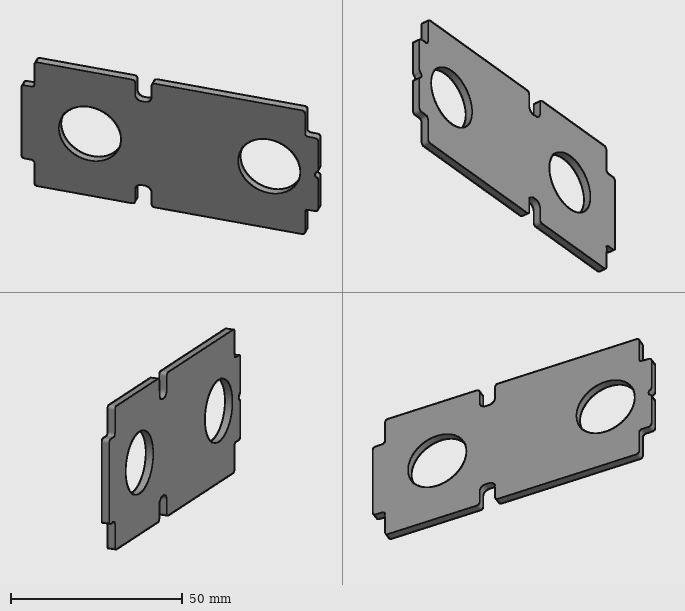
import cadquery as cq

overall_length = 91.0
body_length = 83.0
body_height = 44.0
tab_height = 26.0
thickness = 2.5
corner_radius = 1.0

window_diameter = 19.0
window_centers_x = (-24.5, 30.5)

slot_center_x = -8.1
slot_width = 5.0
slot_depth = 7.1
slot_inner_radius = 2.0

notch_radius = 1.0


def block(length, height):
    """Plate blank of the given length (X) and height (Z), centred on the origin."""
    return cq.Workplane("XY").box(length, thickness, height)


def cylinder(x, z, diameter):
    """Cylinder along Y, as thick as the plate, centred at (x, z)."""
    return (
        cq.Workplane("XZ", origin=(0, thickness / 2, 0))
        .center(x, z)
        .circle(diameter / 2)
        .extrude(thickness)
    )


def edge_slot(side):
    """Slot cutter for the top (side = 1) or bottom (side = -1) edge."""
    inner_face = "<Z" if side > 0 else ">Z"
    center_z = side * (body_height - slot_depth) / 2
    return (
        block(slot_width, slot_depth)
        .faces(inner_face)
        .edges("|Y")
        .fillet(slot_inner_radius)
        .translate((slot_center_x, 0, center_z))
    )


plate = block(body_length, body_height).union(block(overall_length, tab_height))
plate = plate.cut(cylinder(overall_length / 2, 0, 2 * notch_radius))

for side in (1, -1):
    plate = plate.cut(edge_slot(side))

slot_bottom_reach = body_height / 2 - corner_radius
slot_bottoms = cq.selectors.BoxSelector(
    (slot_center_x - slot_width, -thickness, -slot_bottom_reach),
    (slot_center_x + slot_width, thickness, slot_bottom_reach),
)
outline_corners = cq.selectors.SubtractSelector(
    cq.selectors.ParallelDirSelector(cq.Vector(0, 1, 0)), slot_bottoms
)
plate = plate.edges(outline_corners).fillet(corner_radius)

for center_x in window_centers_x:
    plate = plate.cut(cylinder(center_x, 0, window_diameter))

result = plate